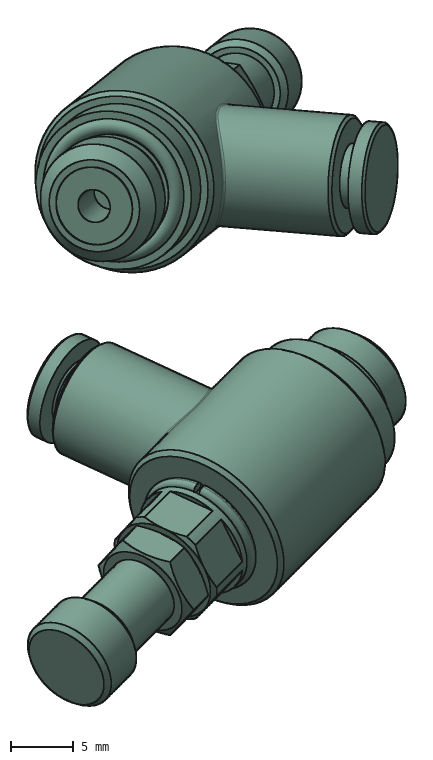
import cadquery as cq
import math


overall_width = 26.7
barrel_radius = 15.0 / 2
barrel_start = 7.5
barrel_end = 22.6
barrel_chamfer = 0.38
branch_y = 15.08
branch_radius = 4.87
branch_end = 16.55
branch_chamfer = 0.25
branch_fillet = 0.2
bore_radius = 4.87

neck_radius = 2.6
neck_flare = 0.13
flare_length = 0.2
collar_radius = 4.5
collar_start = 17.85
collar_end = overall_width - barrel_radius
collar_chamfer = 0.2

boss_radius = 3.2
boss_height = 0.1
thread_radius = 4.85
thread_tip_radius = 3.8
thread_tip_end = 1.05
thread_end = 3.5
relief_radius = 4.2
relief_start = 4.1
flange_radius = 6.5
flange_start = 5.1
orifice_radius = 1.35
orifice_depth = 4.2

seal_ring_radius = 5.25
seal_wire_radius = 0.65

groove_radius = 4.55
groove_end = 23.7
snap_ring_radius = 4.8
snap_wire_radius = 0.5
snap_gap = 0.5

head_flats = 9.0
head_round_radius = 9.85 / 2
head_flats_start = 24.3
head_end = 28.22
head_face_radius = 4.5
nut_flats = 8.0
nut_end = 31.2
nut_face_radius = 3.8
hex_chamfer_angle = 30.0

stem_radius = 3.02
knob_radius = 4.05
knob_start = 37.5
knob_end = 42.0
knob_inner_chamfer = 0.5
knob_outer_chamfer = 0.4


def cylinder_y(radius, start, end):
    """Cylinder around the Y axis between two Y positions."""
    return cq.Workplane("XZ", origin=(0, start, 0)).circle(radius).extrude(start - end)


def cylinder_x(radius, start, end):
    """Cylinder around the branch axis between two X positions."""
    return cq.Workplane("YZ", origin=(start, branch_y, 0)).circle(radius).extrude(end - start)


def torus_y(ring_radius, wire_radius, y):
    """Torus around the Y axis, centred at position y."""
    wire = cq.Workplane("XY").center(ring_radius, y).circle(wire_radius)
    return wire.revolve(360, (-ring_radius, 0, 0), (-ring_radius, 1, 0))


def hex_prism(flats, start, end):
    """Hexagonal prism along Y with two flats facing up and down."""
    corner_diameter = flats / math.cos(math.pi / 6)
    return cq.Workplane("XZ", origin=(0, start, 0)).polygon(6, corner_diameter).extrude(start - end)


def corner_cone_drop(face_radius, outer_radius):
    """Axial length of the cone that chamfers a hexagon's corners."""
    return (outer_radius - face_radius) * math.tan(math.radians(hex_chamfer_angle))


def revolve_y(points):
    """Solid of revolution around Y from (radius, y) points."""
    return cq.Workplane("XY").polyline(points).close().revolve(360, (0, 0, 0), (0, 1, 0))


def make_housing():
    barrel = cylinder_y(barrel_radius, barrel_start, barrel_end)
    barrel = barrel.faces("<Y or >Y").chamfer(barrel_chamfer)
    branch = cylinder_x(branch_radius, 0, branch_end).faces(">X").chamfer(branch_chamfer)
    housing = barrel.union(branch)

    margin = 0.4
    saddle_box = cq.selectors.BoxSelector(
        (margin, branch_y - branch_radius - margin, -barrel_radius),
        (barrel_radius + margin, branch_y + branch_radius + margin, barrel_radius),
        boundingbox=True,
    )
    housing = housing.edges(saddle_box).fillet(branch_fillet)
    housing = housing.cut(cylinder_y(bore_radius, barrel_start, barrel_end))
    return housing.union(make_release_collar())


def make_release_collar():
    """Collar on a neck that flares where it meets the collar."""
    flare_start = collar_start - flare_length
    flare_radius = neck_radius + neck_flare
    profile = cq.Workplane("XY", origin=(0, branch_y, 0)).polyline([
        (branch_end, 0),
        (branch_end, neck_radius),
        (flare_start, neck_radius),
        (collar_start, flare_radius),
        (collar_start, collar_radius),
        (collar_end - collar_chamfer, collar_radius),
        (collar_end, collar_radius - collar_chamfer),
        (collar_end, 0),
    ]).close()
    return profile.revolve(360, (0, 0, 0), (1, 0, 0))


def make_shank():
    """Threaded end, flange, shank inside the bore and groove for the snap ring."""
    shank = revolve_y([
        (0, 0),
        (boss_radius, 0),
        (boss_radius, boss_height),
        (thread_tip_radius, boss_height),
        (thread_radius, thread_tip_end),
        (thread_radius, thread_end),
        (relief_radius, relief_start),
        (relief_radius, flange_start),
        (flange_radius, flange_start),
        (flange_radius, barrel_start),
        (bore_radius, barrel_start),
        (bore_radius, barrel_end),
        (groove_radius, barrel_end),
        (groove_radius, groove_end),
        (0, groove_end),
    ])
    return shank.cut(cylinder_y(orifice_radius, 0, orifice_depth))


def make_snap_ring():
    """Round-wire ring resting on the barrel, open at the top."""
    ring_y = barrel_end + snap_wire_radius
    ring = torus_y(snap_ring_radius, snap_wire_radius, ring_y)
    gap_length = 4 * snap_wire_radius
    gap = cq.Workplane("XY", origin=(0, ring_y, 0)).rect(snap_gap, gap_length).extrude(barrel_radius)
    return ring.cut(gap)


def make_head():
    """Round head with six flats that stop short of its lower rim."""
    chamfer_start = head_end - corner_cone_drop(head_face_radius, head_round_radius)
    blank = revolve_y([
        (0, groove_end),
        (head_round_radius, groove_end),
        (head_round_radius, chamfer_start),
        (head_face_radius, head_end),
        (0, head_end),
    ])
    rim = cylinder_y(head_round_radius, groove_end, head_flats_start)
    return blank.intersect(hex_prism(head_flats, head_flats_start, head_end).union(rim))


def make_nut():
    """Hexagonal lock nut with its corners chamfered at both ends."""
    corner_radius = nut_flats / 2 / math.cos(math.pi / 6)
    drop = corner_cone_drop(nut_face_radius, corner_radius)
    blank = revolve_y([
        (0, head_end),
        (nut_face_radius, head_end),
        (corner_radius, head_end + drop),
        (corner_radius, nut_end - drop),
        (nut_face_radius, nut_end),
        (0, nut_end),
    ])
    return hex_prism(nut_flats, head_end, nut_end).intersect(blank)


def make_knob():
    knob = cylinder_y(knob_radius, knob_start, knob_end)
    knob = knob.faces("<Y").chamfer(knob_inner_chamfer)
    return knob.faces(">Y").chamfer(knob_outer_chamfer)


def make_bolt():
    bolt = make_shank()
    bolt = bolt.union(torus_y(seal_ring_radius, seal_wire_radius, flange_start))
    bolt = bolt.union(make_snap_ring())
    bolt = bolt.union(make_head())
    bolt = bolt.union(make_nut())
    bolt = bolt.union(cylinder_y(stem_radius, nut_end, knob_start))
    return bolt.union(make_knob())


housing = make_housing()
bolt = make_bolt()

result = cq.Compound.makeCompound([housing.solids().val(), bolt.solids().val()])